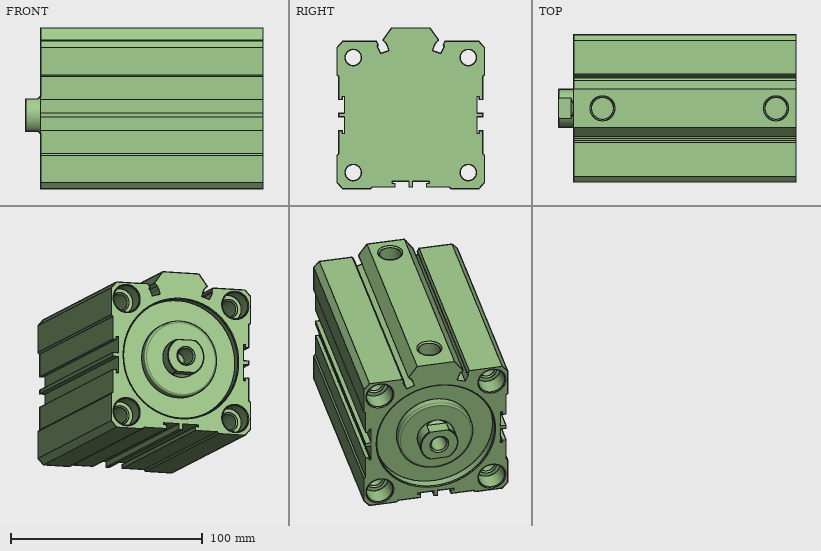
import cadquery as cq


body_length = 116.0
body_half = 38.5
corner_bevel_width = 3.0
corner_bevel_height = 3.3

relief_depth = 0.9
relief_half_width = 21.0
relief_face = body_half - relief_depth
relief_foot = relief_half_width - relief_depth

slot_half_width = 8.1
slot_undercut_half_width = 9.6
slot_lip_face = 35.6
slot_floor_face = 34.6
slot_rib_half_width = 1.0

rail_top = 45.5
rail_half_width = 10.0
rail_edge = (14.6, 39.1)
rail_overhang_end = (13.1, 37.7)
rail_neck = (12.2, 36.0)
groove_floor_inner = (11.5, 33.6)
groove_floor_outer = (15.7, 32.2)
groove_undercut = (17.5, 36.0)
groove_lip = (16.9, 36.6)
groove_mouth_half_width = 17.9

mount_offset = 30.0
mount_diameter = 8.38
mount_chamfer = 0.8
counterbore_diameter = 14.0
counterbore_depth = 10.5
counterbore_chamfer = 0.5

recess_diameter = 63.0
recess_depth = 5.0
recess_chamfer = 0.5
boss_diameter = 40.0
boss_edge_radius = 1.0

port_positions = (15.0, 105.5)
port_diameter = 11.45
port_chamfer = 0.8
port_depth = 12.0

rod_diameter = 20.0
rod_projection = 8.0
rod_inside = 100.0
rod_edge_chamfer = 0.3
flat_width = 17.0
flat_length = 6.5
thread_diameter = 8.38
thread_chamfer = 0.8
thread_depth = 15.0
thread_cone_depth = thread_diameter / 4


def cylinder_x(diameter, start, length):
    return cq.Workplane("YZ", origin=(start, 0, 0)).circle(diameter / 2).extrude(length)


def chamfered_drill(diameter, depth, chamfer):
    """Cutter from the origin along +X: a cylinder with a 45 degree flare at its mouth."""
    radius = diameter / 2
    outline = [(0, 0), (0, radius + chamfer), (chamfer, radius), (depth, radius), (depth, 0)]
    return cq.Workplane("XY").polyline(outline).close().revolve(360, (0, 0, 0), (1, 0, 0))


def body_half_outline():
    """Outline of the +Y half of the body section, from the top centre to the bottom centre."""
    rail = [
        (0, rail_top),
        (rail_half_width, rail_top),
        rail_edge,
        rail_overhang_end,
        rail_neck,
        groove_floor_inner,
        groove_floor_outer,
        groove_undercut,
        groove_lip,
        (groove_mouth_half_width, body_half),
    ]
    upper_bevel = [
        (body_half - corner_bevel_width, body_half),
        (body_half, body_half - corner_bevel_height),
    ]
    half_face = [
        (relief_half_width, body_half),
        (relief_foot, relief_face),
        (slot_half_width, relief_face),
        (slot_half_width, slot_lip_face),
        (slot_undercut_half_width, slot_lip_face),
        (slot_undercut_half_width, slot_floor_face),
        (slot_rib_half_width, slot_floor_face),
        (slot_rib_half_width, relief_face),
    ]
    side_upper = [(out, along) for along, out in half_face]
    side_lower = [(out, -along) for along, out in reversed(half_face)]
    lower_bevel = [(y, -z) for y, z in reversed(upper_bevel)]
    bottom = [(along, -out) for along, out in half_face]
    return rail + upper_bevel + side_upper + side_lower + lower_bevel + bottom + [(0, -relief_face)]


def make_section():
    half = cq.Workplane("YZ").polyline(body_half_outline()).close().extrude(body_length)
    return half.union(half.mirror("XZ"))


def make_body():
    body = make_section()

    recess = chamfered_drill(recess_diameter, recess_depth, recess_chamfer)
    boss = cylinder_x(boss_diameter, 0, recess_depth).faces("<X").edges().fillet(boss_edge_radius)
    body = body.cut(recess.cut(boss))

    counterbore = chamfered_drill(counterbore_diameter, counterbore_depth, counterbore_chamfer)
    through_hole = chamfered_drill(mount_diameter, body_length - counterbore_depth, mount_chamfer)
    mount_cutter = counterbore.union(through_hole.translate((counterbore_depth, 0, 0)))
    for y in (-mount_offset, mount_offset):
        for z in (-mount_offset, mount_offset):
            body = body.cut(mount_cutter.translate((0, y, z)))

    port_cutter = chamfered_drill(port_diameter, port_depth, port_chamfer)
    port_cutter = port_cutter.rotate((0, 0, 0), (0, 1, 0), 90)
    for x in port_positions:
        body = body.cut(port_cutter.translate((x, 0, rail_top)))

    return body.cut(cylinder_x(rod_diameter, 0, rod_inside))


def make_rod():
    rod = cylinder_x(rod_diameter, -rod_projection, rod_projection + rod_inside)
    rod = rod.faces("<X").chamfer(rod_edge_chamfer)

    flat_height = (rod_diameter - flat_width) / 2
    flat_end = flat_length - rod_projection
    flat_outline = [
        (-rod_projection, flat_width / 2),
        (flat_end, flat_width / 2),
        (flat_end + flat_height, rod_diameter / 2),
        (-rod_projection, rod_diameter / 2),
    ]
    flat_cutter = cq.Workplane("XZ").polyline(flat_outline).close().extrude(rod_diameter / 2, both=True)
    rod = rod.cut(flat_cutter).cut(flat_cutter.mirror("XY"))

    hole = chamfered_drill(thread_diameter, thread_depth, thread_chamfer)
    cone = cq.Solid.makeCone(
        thread_diameter / 2, 0, thread_cone_depth, cq.Vector(thread_depth, 0, 0), cq.Vector(1, 0, 0)
    )
    return rod.cut(hole.union(cq.Workplane(cone)).translate((-rod_projection, 0, 0)))


body = make_body()
piston_rod = make_rod()

result = cq.Compound.makeCompound([body.val(), piston_rod.val()])